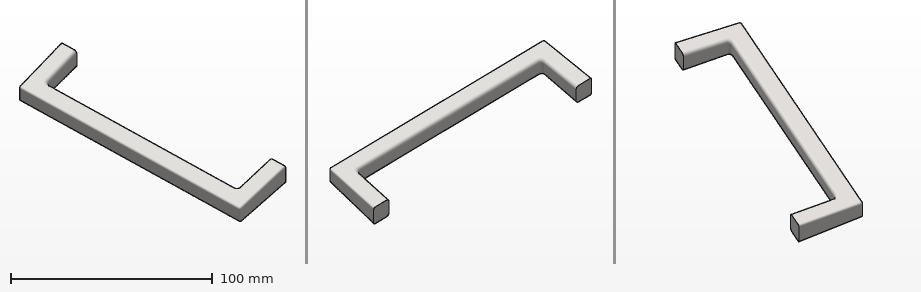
import cadquery as cq
import math

length = 140.0
depth = 36.0
mount_height = 12.0

taper_angle = 1.5
leg_width = 10.0
grip_depth = 10.4

outer_radius = 1.1
inner_edge_radius = 2.0
inner_corner_radius = 1.8

taper_slope = math.tan(math.radians(taper_angle))
front_inset = depth * taper_slope
grip_inset = (depth - grip_depth) * taper_slope


def mirrored_prism(right_half, plane, thickness):
    """Mirror a half outline about the plane's local Y axis and extrude it both ways."""
    left_half = [(-across, along) for across, along in reversed(right_half)]
    outline = cq.Workplane(plane).polyline(right_half + left_half).close()
    return outline.extrude(thickness / 2, both=True)


end_outline = [(length / 2 - front_inset, 0), (length / 2, depth)]
blank = mirrored_prism(end_outline, "XY", mount_height)

height_outline = [(mount_height / 2 - front_inset, 0), (mount_height / 2, depth)]
height_plane = cq.Plane(origin=(0, 0, 0), xDir=(0, 0, 1), normal=(-1, 0, 0))
blank = blank.intersect(mirrored_prism(height_outline, height_plane, length))

blank = blank.edges("not(>Y)").fillet(outer_radius)

opening_half = length / 2 - leg_width
opening_outline = [(opening_half - grip_inset, grip_depth), (opening_half, depth)]
opening = mirrored_prism(opening_outline, "XY", mount_height)
opening = opening.edges("|Z and <Y").fillet(inner_corner_radius)
handle = blank.cut(opening)

rim_box = cq.selectors.BoxSelector(
    (-opening_half - outer_radius, grip_depth - outer_radius, -mount_height),
    (opening_half + outer_radius, depth - outer_radius, mount_height),
)
rim_edges = handle.edges(rim_box).edges("not(|Z)")
result = rim_edges.fillet(inner_edge_radius)